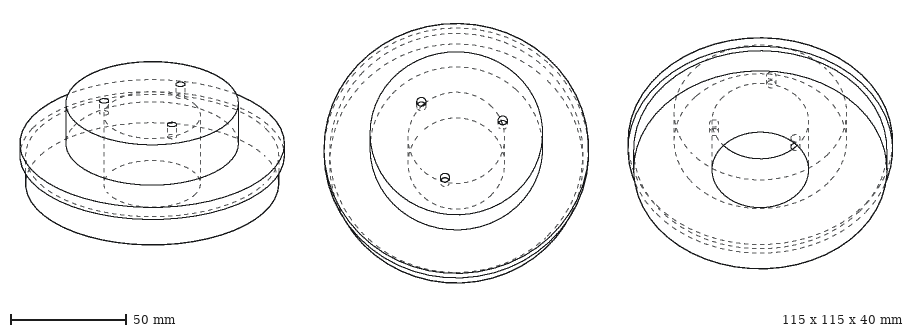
import cadquery as cq

base_diameter = 110.0
base_height = 14.0
flange_diameter = 115.0
flange_height = 6.0
hub_diameter = 75.0
hub_height = 20.0
total_height = base_height + flange_height + hub_height

bore_diameter = 42.0
roof_thickness = 6.0
bore_depth = total_height - roof_thickness

hole_diameter = 4.0
hole_count = 3
hole_circle_radius = bore_diameter / 2
first_hole_angle = 90.0

body = (
    cq.Workplane("XY")
    .circle(base_diameter / 2)
    .extrude(base_height)
    .faces(">Z")
    .workplane()
    .circle(flange_diameter / 2)
    .extrude(flange_height)
    .faces(">Z")
    .workplane()
    .circle(hub_diameter / 2)
    .extrude(hub_height)
)

bore = cq.Workplane("XY").circle(bore_diameter / 2).extrude(bore_depth)

screw_holes = (
    cq.Workplane("XY")
    .workplane(offset=bore_depth)
    .polarArray(hole_circle_radius, first_hole_angle, 360, hole_count)
    .circle(hole_diameter / 2)
    .extrude(roof_thickness)
)

result = body.cut(bore).cut(screw_holes)